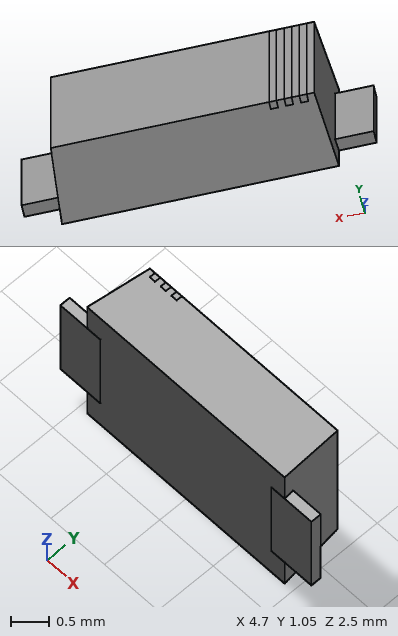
import cadquery as cq
import math

OVERALL_LENGTH = 4.7
DEPTH = 1.05
HOUSING_LENGTH = 3.7
HOUSING_HEIGHT = 2.5
DRAFT_ANGLE = 5.0

TERMINAL_LENGTH = 0.745
TERMINAL_HEIGHT = 1.5
TERMINAL_THICKNESS = 0.17

STRIPE_COUNT = 3
STRIPE_WIDTH = 0.1
STRIPE_PITCH = 0.2
STRIPE_DEPTH = 0.1
STRIPE_MARGIN = 0.1

BACK_FACE_LENGTH = HOUSING_LENGTH - 2 * DEPTH * math.tan(math.radians(DRAFT_ANGLE))


def block(x_centre, y_start, length, thickness, height):
    """Box centred on Z, growing in +Y from y_start."""
    return cq.Workplane("XY").box(length, thickness, height).translate(
        (x_centre, y_start + thickness / 2, 0)
    )


def make_envelope():
    """Tapered block, widest at the mounting face."""
    return (
        cq.Workplane("XZ")
        .rect(HOUSING_LENGTH, HOUSING_HEIGHT)
        .extrude(-DEPTH, taper=DRAFT_ANGLE)
    )


def make_terminal(side):
    """Flat terminal at the -X (side = -1) or +X (side = 1) end."""
    x_centre = side * (OVERALL_LENGTH - TERMINAL_LENGTH) / 2
    return block(x_centre, 0, TERMINAL_LENGTH, TERMINAL_THICKNESS, TERMINAL_HEIGHT)


def make_stripe(index, envelope):
    """Full-height stripe, its ends flush with the drafted walls."""
    first_centre = -BACK_FACE_LENGTH / 2 + STRIPE_MARGIN + STRIPE_WIDTH / 2
    x_centre = first_centre + index * STRIPE_PITCH
    bar = block(x_centre, DEPTH - STRIPE_DEPTH, STRIPE_WIDTH, STRIPE_DEPTH, HOUSING_HEIGHT)
    return bar.intersect(envelope)


def make_housing(envelope, inlays):
    """Envelope with a matching recess for every inlaid body."""
    housing = envelope
    for inlay in inlays:
        housing = housing.cut(inlay)
    return housing


envelope = make_envelope()
terminals = [make_terminal(side) for side in (-1, 1)]
stripes = [make_stripe(index, envelope) for index in range(STRIPE_COUNT)]
housing = make_housing(envelope, terminals + stripes)

bodies = [housing, *terminals, *stripes]
result = cq.Compound.makeCompound([body.solids().val() for body in bodies])